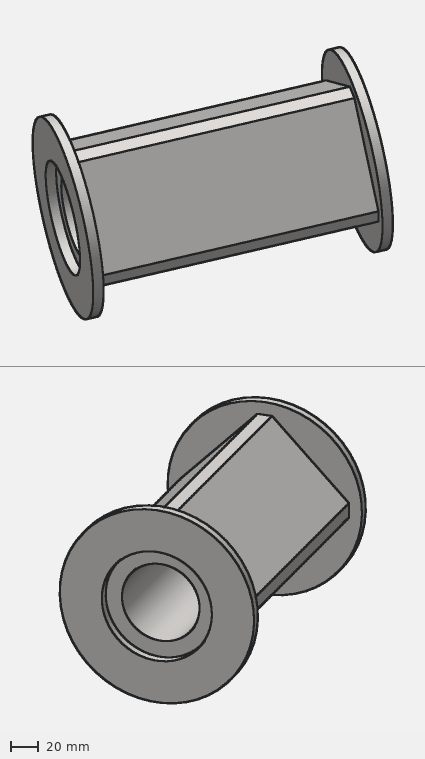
import cadquery as cq

length = 226.0
flange_diameter = 150.0
flange_thickness = 8.0

body_across_flats = 100.0
body_across_corners = 130.0
corner_angle = 45

bore_diameter = 60.0
seat_diameter = 85.0
seat_depth = flange_thickness


def disc(diameter, start_y, thickness):
    """Solid cylinder about the Y axis, growing toward +Y from start_y."""
    axis = cq.Vector(0, 1, 0)
    return cq.Workplane(cq.Solid.makeCylinder(diameter / 2, thickness, cq.Vector(0, start_y, 0), axis))


def make_body():
    """Truncated-corner square bar along the whole length."""
    square = cq.Workplane("XY").box(body_across_flats, length, body_across_flats)
    tilted = square.rotate((0, 0, 0), (0, 1, 0), corner_angle)
    corner_limit = cq.Workplane("XY").box(body_across_corners, length, body_across_corners)
    return tilted.intersect(corner_limit)


front_y = -length / 2
back_y = length / 2

result = make_body()
for flange_start in (front_y, back_y - flange_thickness):
    result = result.union(disc(flange_diameter, flange_start, flange_thickness))

result = result.cut(disc(bore_diameter, front_y, length))
for seat_start in (front_y, back_y - seat_depth):
    result = result.cut(disc(seat_diameter, seat_start, seat_depth))